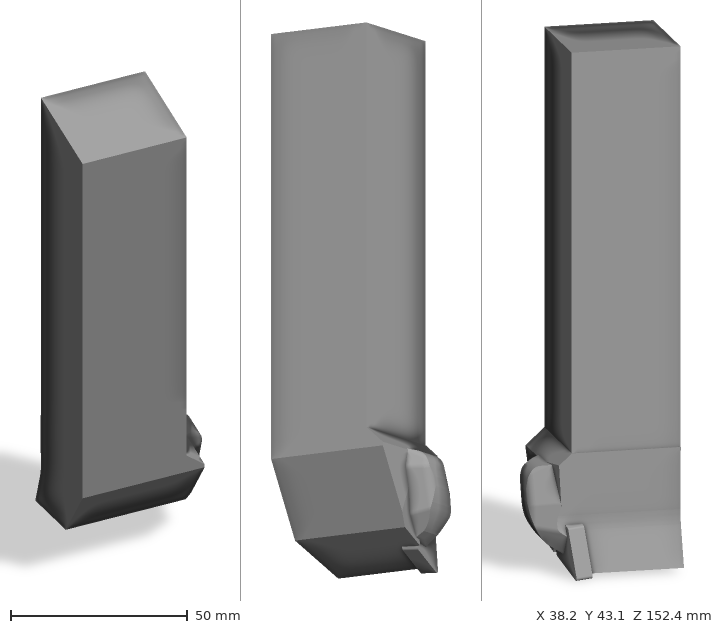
import cadquery as cq
import math

shank_size = 31.7
total_height = 152.4

head_top_z = 35.8
head_bulge = 0.5
relief_x = 0.0
relief_top_z = 17.7
relief_bottom_x = -0.6
relief_bottom_z = 13.4
relief_mid_x = -0.2
relief_mid_z = 15.5
head_tip_x = -4.3
head_tip_z = 1.5
heel_x = 18.9
heel_z = 8.5
chamfer_top_z = 29.9

head_depth = 37.2
ramp_end_z = 31.0
rake_slope_x = 0.14
rake_slope_z = 0.065
rake_normal = cq.Vector(-rake_slope_x, 1, -rake_slope_z)
rake_face_point = (0, 33.4, 0)

insert_side = 15.5
insert_angle = 55.0
insert_thickness = 4.9
insert_corner_radius = 0.8
insert_tip = (-6.9, 31.7, -0.4)
pocket_clearance_height = 6.9

clamp_peak_y = 43.1
clamp_root_y = 32.0
clamp_taper = 27.0
clamp_edge_radius = 3.4
clamp_corner_radius = 2.6
clamp_reach = 61.0

clamp_plan = [
    (4.3, 34.7),
    (20.0, 34.7),
    (22.3, 25.9),
    (18.0, 11.6),
    (10.7, 4.5),
    (2.5, 4.5),
    (-2.6, 13.0),
    (-1.2, 21.6),
]

clamp_nose_root_z = 4.9
nose_tip = (34.9, 6.9)
nose_top = (37.8, 8.7)
nose_arc_mid = (40.5, 12.0)
dome_start = (42.4, 16.2)
dome_peak = (clamp_peak_y, 23.5)
dome_end = (42.7, 26.8)
back_arc_mid = (41.3, 29.5)
back_wall_top = (38.7, 31.0)
back_wall_foot = (35.5, 31.5)

head_span = 3 * shank_size


def rake_plane(origin):
    """Plane on the rake tilt whose local X and Y stay close to global X and -Z."""
    return cq.Plane(origin=origin, xDir=(1, rake_slope_x, 0), normal=rake_normal.toTuple())


def make_insert(height):
    """Rhombic prism: long diagonal at 45 degrees, rounded upright corners."""
    edge_lean = math.radians((90 - insert_angle) / 2)
    along = insert_side * math.cos(edge_lean)
    across = insert_side * math.sin(edge_lean)
    corners = [(0, 0), (along, -across), (along + across, -along - across), (across, -along)]
    return (
        cq.Workplane(rake_plane(insert_tip))
        .workplane(offset=-insert_thickness)
        .polyline(corners)
        .close()
        .extrude(height)
        .edges(cq.selectors.ParallelDirSelector(rake_normal))
        .fillet(insert_corner_radius)
    )


def make_outline(depth):
    """Shank and head outline, extruded back from the front face."""
    return (
        cq.Workplane("XZ")
        .moveTo(0, total_height)
        .lineTo(0, head_top_z)
        .lineTo(-head_bulge, head_top_z)
        .lineTo(relief_x, relief_top_z)
        .threePointArc((relief_mid_x, relief_mid_z), (relief_bottom_x, relief_bottom_z))
        .lineTo(head_tip_x, head_tip_z)
        .lineTo(heel_x, heel_z)
        .lineTo(shank_size, chamfer_top_z)
        .lineTo(shank_size, total_height)
        .close()
        .extrude(-depth)
    )


def make_shank_and_head():
    side_profile = (
        cq.Workplane("YZ")
        .polyline([
            (0, 0),
            (head_depth, 0),
            (head_depth, ramp_end_z),
            (shank_size, head_top_z),
            (shank_size, total_height),
            (0, total_height),
        ])
        .close()
        .extrude(head_span, both=True)
    )
    above_rake = (
        cq.Workplane(rake_plane(rake_face_point))
        .rect(head_span, 2 * head_top_z)
        .extrude(head_depth)
    )
    return make_outline(head_depth).intersect(side_profile).cut(above_rake)


def make_clamp():
    """Tapered plan shape trimmed by a domed side profile and kept within the head outline."""
    plan = (
        cq.Workplane("XZ", origin=(0, clamp_root_y, 0))
        .polyline(clamp_plan)
        .close()
        .extrude(-(clamp_peak_y - clamp_root_y), taper=clamp_taper)
    )
    dome = (
        cq.Workplane("YZ")
        .moveTo(clamp_root_y, clamp_nose_root_z)
        .lineTo(*nose_tip)
        .lineTo(*nose_top)
        .threePointArc(nose_arc_mid, dome_start)
        .threePointArc(dome_peak, dome_end)
        .threePointArc(back_arc_mid, back_wall_top)
        .lineTo(*back_wall_foot)
        .lineTo(clamp_root_y, back_wall_foot[1])
        .close()
        .extrude(clamp_reach, both=True)
    )
    rounded_plan = (
        plan.edges("not(<Y or >Y)").fillet(clamp_corner_radius)
        .edges(">Y").fillet(clamp_edge_radius)
    )
    return rounded_plan.intersect(dome).intersect(make_outline(clamp_peak_y))


insert = make_insert(insert_thickness)
pocket = make_insert(pocket_clearance_height)
holder = make_shank_and_head().cut(pocket).union(make_clamp()).cut(insert)

result = cq.Compound.makeCompound([holder.val(), insert.val()])